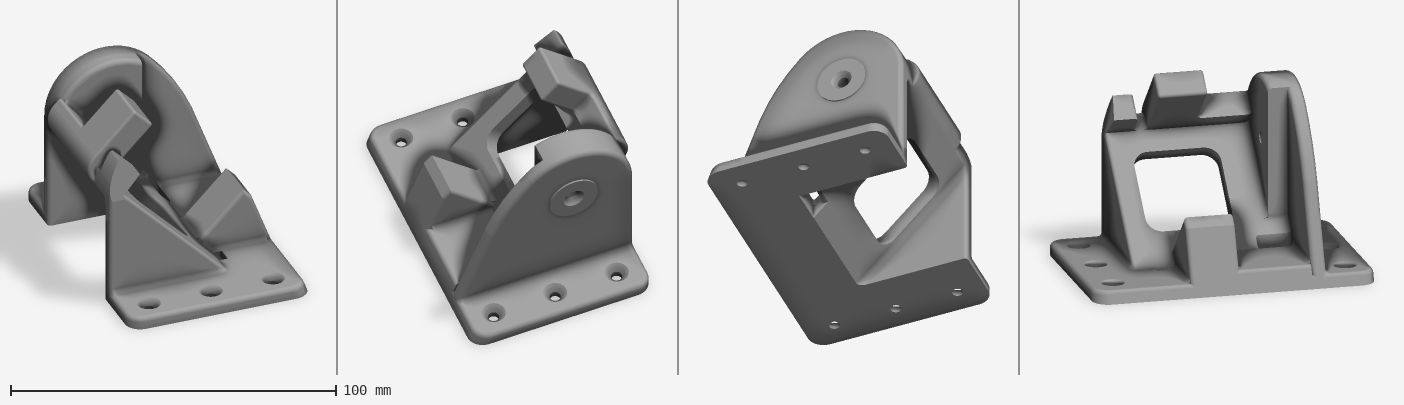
import cadquery as cq
import math

base_length = 89.59
base_depth = 59.96
flange_height = 4.0
corner_radius = 5.0
edge_radius = 1.5
flange_hole_radius = 1.7
flange_sink_radius = 3.7
flange_hole_inset = 7.9
flange_hole_rows = (9.0, 29.5, 50.0)

wall_thickness = 4.7
left_wall_outer = -29.0
left_wall_inner = left_wall_outer + wall_thickness
right_wall_outer = 27.4
right_wall_inner = right_wall_outer - wall_thickness
right_wall_edge_radius = 1.0

pivot_radius = 20.1
pivot_y = pivot_radius
pivot_z = 37.6
back_lean = math.radians(20.9)
back_bend_z = 31.4
hub_inner = -18.1
hub_depth = 28.6
hub_edge_radius = 1.6
pad_radius = 8.0
pad_thickness = 0.5
pivot_hole_radius = 1.85
pivot_sink_radius = 3.4

web_top_z = 36.1
web_thickness = 4.75
window_left = -7.3
window_right = 20.3
window_low = -37.55
window_high = -9.6
window_radius = 5.0
cavity_radius = 1.9
opening_radius = 1.2
cove_radius = 1.5

bar_left = -20.5
bar_radius = 6.65
bar_height = 9.8
arm_left = -1.5
arm_right = 14.2
arm_height = 25.7
arm_back = -2.0
arm_edge_radius = 0.9
arm_root_radius = 1.5
tab_front = -44.3
tab_edge_radius = 1.2
lug_left = 18.2
lug_top_right = 24.8
lug_top_z = 49.6
lug_height = 12.7
lug_edge_radius = 1.5
lug_foot_drop = 1.0

raised_floor_height = 7.0
slot_right = -13.1
slot_front = 32.6
slot_back = 36.2
slot_radius = 1.0
slot_mouth_height = 4.8
notch_right = 20.6
notch_back = 41.6

slope = math.sqrt(0.5)
up_web = (0, -slope, slope)
out_of_web = (0, slope, slope)
tall = 100.0
facing_out = cq.selectors.DirectionMinMaxSelector(cq.Vector(out_of_web))


def web_point(along, out):
    """(y, z) of a point measured up the web underside and square out of it."""
    return ((out - along) * slope, web_top_z + (out + along) * slope)


def back_y(z):
    """Y of the leaning back face at height z."""
    return base_depth - z * math.tan(back_lean)


def web_foot_y(height):
    """Y where the upper side of the web passes height."""
    return web_top_z + web_thickness / slope - height


def along_at(y):
    """Distance up the web at which its upper side passes y."""
    return web_thickness - y / slope


def prism(points, left, right):
    """Closed (y, z) polygon swept from x = left to x = right."""
    return cq.Workplane("YZ", origin=(left, 0, 0)).polyline(points).close().extrude(right - left)


def web_block(low, high, near, far, left, right):
    """Box aligned with the web: low..high along it, near..far out of it."""
    corners = [(low, near), (high, near), (high, far), (low, far)]
    return prism([web_point(*corner) for corner in corners], left, right)


def outline_prism(left, right):
    """Full side outline swept from x = left to x = right."""
    arc_end = (pivot_y + pivot_radius * slope, pivot_z + pivot_radius * slope)
    return (
        cq.Workplane("YZ", origin=(left, 0, 0))
        .moveTo(0, 0)
        .lineTo(0, pivot_z)
        .threePointArc((pivot_y - pivot_radius * slope, arc_end[1]), (pivot_y, pivot_z + pivot_radius))
        .threePointArc(
            (pivot_y + pivot_radius * math.sin(math.pi / 8), pivot_z + pivot_radius * math.cos(math.pi / 8)),
            arc_end,
        )
        .tangentArcPoint((back_y(back_bend_z), back_bend_z), relative=False)
        .lineTo(base_depth, 0)
        .close()
        .extrude(right - left)
    )


def floor_block(left, right, height):
    """Slab from the front to the leaning back face."""
    return prism([(0, 0), (0, height), (back_y(height), height), (base_depth, 0)], left, right)


def under_web(left, right):
    """Open space in front of and below the web, rounded into the walls."""
    space = web_block(-tall, tall, -tall, 0, left, right)
    return space.faces(facing_out).edges("not |X").fillet(cavity_radius)


def cove(origin, across, along, length, radius=cove_radius):
    """Concave fillet bar: starts at origin, spreads along `across`, runs along `along`."""
    frame = cq.Plane(origin=origin, xDir=across, normal=along)
    middle = radius * (1 - slope)
    return (
        cq.Workplane(frame)
        .moveTo(0, 0)
        .lineTo(radius, 0)
        .threePointArc((middle, middle), (0, radius))
        .close()
        .extrude(length)
    )


def web_cove(x, side, low, high, out):
    """Cove beside a wall at x, on a plane parallel to the web; side is +1 or -1 along X."""
    if side > 0:
        return cove((x, *web_point(low, out)), (1, 0, 0), up_web, high - low)
    down_web = tuple(-part for part in up_web)
    return cove((x, *web_point(high, out)), (-1, 0, 0), down_web, high - low)


def floor_cove(x, side, height):
    """Cove beside a wall at x on the floor, from the web to near the back edge."""
    front = web_foot_y(height)
    back = back_y(height) - edge_radius
    if side > 0:
        return cove((x, back, height), (1, 0, 0), (0, -1, 0), back - front)
    return cove((x, front, height), (-1, 0, 0), (0, 1, 0), back - front)


def edges_within(left, right, front, back, bottom, top):
    """Selector for edges centred inside a box, widened by a small margin."""
    margin = 0.1
    low = (left - margin, front - margin, bottom - margin)
    high = (right + margin, back + margin, top + margin)
    return cq.selectors.BoxSelector(low, high)


def make_base():
    half = base_length / 2
    base = floor_block(-half, half, flange_height)
    for side in ("<X", ">X"):
        base = base.faces(side).edges("<Y or >Y").fillet(corner_radius)
    base = base.faces(">Z").edges().fillet(edge_radius)
    raised = floor_block(left_wall_inner, arm_left + tab_edge_radius, raised_floor_height)
    raised = raised.faces(">Z").edges(">Y").fillet(edge_radius)
    return base.union(raised)


def make_left_wall():
    wall = outline_prism(left_wall_outer, left_wall_inner)
    wall = wall.faces("<X").edges("not <Z").fillet(hub_edge_radius)
    hub = outline_prism(left_wall_outer, hub_inner)
    hub = hub.faces("<X or >X").edges("not <Z").fillet(hub_edge_radius)
    hub = hub.cut(under_web(left_wall_inner, hub_inner))
    hub_limit = cq.Workplane("XY").box(tall, hub_depth, tall, centered=(True, False, False))
    pad = (
        cq.Workplane("YZ", origin=(left_wall_outer - pad_thickness, pivot_y, pivot_z))
        .circle(pad_radius)
        .extrude(wall_thickness)
    )
    wall = wall.union(hub.intersect(hub_limit)).union(pad)
    x = left_wall_inner
    behind_hub = edges_within(x, x, hub_depth + edge_radius, tall, edge_radius, tall)
    return wall.edges(behind_hub).fillet(edge_radius)


def make_lug_slope():
    """Cutter whose slanted side narrows the lug and wall top towards the crest."""
    low_z = pivot_z - lug_foot_drop
    return (
        cq.Workplane("XZ", origin=(0, tall, 0))
        .moveTo(right_wall_outer, low_z)
        .lineTo(lug_top_right, lug_top_z)
        .lineTo(lug_top_right, tall)
        .lineTo(tall, tall)
        .lineTo(tall, low_z)
        .close()
        .extrude(2 * tall)
    )


def make_right_wall():
    wall = outline_prism(right_wall_inner, right_wall_outer)
    wall = wall.cut(web_block(-tall, tall, web_thickness, tall, right_wall_inner, right_wall_outer))
    return wall.faces(">X").edges("not <Z").fillet(right_wall_edge_radius).cut(make_lug_slope())


def make_web():
    """Web with spare material below it, which the rounded cavity later trims."""
    web = web_block(-tall, tall, -cavity_radius, web_thickness, left_wall_inner, right_wall_inner)
    return web.intersect(outline_prism(left_wall_inner, right_wall_inner))


def make_bar_and_arm():
    """Crossbar on the web's top edge, carrying the arm; both share one rounded lower front."""
    bar = web_block(arm_back, bar_radius, 0, bar_height, bar_left, (arm_left + arm_right) / 2)
    bar = bar.edges("|X").edges("<Y").fillet(bar_radius)
    bar = bar.faces("<X or >Z").edges("not >X").fillet(arm_edge_radius)
    arm = web_block(arm_back, bar_radius, 0, arm_height, arm_left, arm_right)
    arm = arm.edges("|X").edges("<Y").fillet(bar_radius)
    arm = arm.faces("<X or >X or >Z").edges().fillet(arm_edge_radius)
    both = bar.union(arm)
    front_y, low_z = web_point(bar_radius, bar_height)
    back_edge_y, high_z = web_point(arm_back, bar_height)
    root = edges_within(arm_left, arm_left, front_y, back_edge_y, high_z, low_z)
    return both.edges(root).fillet(arm_root_radius)


def make_lug():
    lug = web_block(arm_back, bar_radius, web_thickness / 2, lug_height, lug_left, right_wall_outer)
    lug = lug.intersect(outline_prism(lug_left, right_wall_outer))
    lug = lug.faces("<X").edges(facing_out).fillet(lug_edge_radius)
    return lug.cut(make_lug_slope())


def make_tab():
    """Stop on the web: square front, end level with the arm's end, leaning back."""
    top = web_point(tab_front, arm_height)
    crest_z = (base_depth - sum(top)) / (math.tan(back_lean) - 1)
    outline = [web_point(tab_front, 0), top, (back_y(crest_z), crest_z), (base_depth, 0)]
    tab = prism(outline, arm_left, arm_right)
    foot_y, foot_z = web_point(tab_front, web_thickness)
    upper = edges_within(-tall, tall, foot_y - edge_radius, back_y(foot_z), foot_z, top[1])
    return tab.edges(upper).edges("not |X").fillet(tab_edge_radius)


def make_slot():
    """Drain slot beside the left wall with a flat-topped mouth at the foot of the web."""
    slot = cq.Workplane("XY").box(slot_right - left_wall_inner, slot_back - slot_front, tall, centered=False)
    slot = slot.translate((left_wall_inner, slot_front, 0)).edges("|Z").fillet(slot_radius)
    mouth_front = web_top_z - slot_mouth_height
    mouth = cq.Workplane("XY").box(
        slot_right - left_wall_inner, slot_back - mouth_front, slot_mouth_height, centered=False
    )
    return slot.union(mouth.translate((left_wall_inner, mouth_front, 0)))


def make_notch():
    notch = web_block(-tall, tall, web_thickness, tall, arm_right, notch_right)
    limit = cq.Workplane("XY").box(tall, notch_back, flange_height, centered=(True, False, False))
    return notch.intersect(limit)


def make_window():
    margin = 1.0
    window = web_block(window_low, window_high, -margin, web_thickness + margin, window_left, window_right)
    through_edges = cq.selectors.ParallelDirSelector(cq.Vector(out_of_web))
    return window.edges(through_edges).fillet(window_radius)


def countersink(radius, sink_radius, depth):
    """Drill along -Z from z = 0 with a 90 degree countersunk mouth."""
    rim = sink_radius - radius
    return (
        cq.Workplane("XZ")
        .polyline([(0, 0), (sink_radius, 0), (radius, -rim), (radius, -depth), (0, -depth)])
        .close()
        .revolve(360, (0, 0, 0), (0, 1, 0))
    )


def add_coves(body):
    """Concave fillets where the hub, thin wall, tab and arm stand on the web and floor."""
    foot = along_at(web_foot_y(raised_floor_height))
    flange_foot = along_at(web_foot_y(flange_height))
    hub_end = along_at(hub_depth)
    tab_corner = tab_front - tab_edge_radius
    tab_inset = arm_right - tab_edge_radius
    front_origin = (tab_inset, *web_point(tab_front, web_thickness))
    coves = [
        web_cove(left_wall_inner, 1, foot, hub_end, web_thickness),
        floor_cove(left_wall_inner, 1, raised_floor_height),
        web_cove(hub_inner, 1, hub_end, arm_back, web_thickness),
        web_cove(hub_inner, 1, arm_back, bar_radius - arm_edge_radius, bar_height),
        floor_cove(arm_left, -1, raised_floor_height),
        floor_cove(arm_right, 1, flange_height),
        web_cove(arm_right, 1, flange_foot, tab_corner, web_thickness),
        cove(front_origin, up_web, (-1, 0, 0), tab_inset - arm_left - tab_edge_radius),
        web_cove(arm_right, 1, arm_back, along_at(edge_radius), web_thickness),
    ]
    for piece in coves:
        body = body.union(piece)
    return body


def round_wall_feet(body):
    """Fillet the flanges into the outer faces of both walls."""
    for x in (left_wall_outer, right_wall_outer):
        foot = edges_within(x, x, edge_radius / 2, base_depth, flange_height, flange_height)
        body = body.edges(foot).fillet(edge_radius)
    return body


def make_body():
    body = make_base().union(make_left_wall()).union(make_right_wall())
    body = round_wall_feet(body)
    body = body.cut(make_notch()).union(make_web()).union(make_tab())
    body = body.cut(under_web(left_wall_inner, right_wall_inner))
    opening = edges_within(left_wall_inner, right_wall_inner, 0, 0, 0, web_top_z)
    body = body.edges(opening).fillet(opening_radius)
    body = body.cut(make_window()).union(make_lug())
    lug_back_y = web_point(arm_back, web_thickness)[0]
    lug_root = edges_within(lug_left, lug_left, 0, lug_back_y, web_top_z, web_top_z + web_thickness / slope)
    body = body.edges(lug_root).fillet(cove_radius)
    step_z = web_point(along_at(hub_depth), web_thickness)[1]
    hub_step = edges_within(left_wall_inner, hub_inner, hub_depth, hub_depth, step_z, step_z)
    body = body.edges(hub_step).fillet(cove_radius)
    return add_coves(body.union(make_bar_and_arm())).cut(make_slot())


def drill(body):
    flange_hole = countersink(flange_hole_radius, flange_sink_radius, flange_height)
    hole_x = base_length / 2 - flange_hole_inset
    for x in (-hole_x, hole_x):
        for y in flange_hole_rows:
            body = body.cut(flange_hole.translate((x, y, flange_height)))
    pivot_depth = hub_inner - left_wall_outer + pad_thickness
    pivot_hole = countersink(pivot_hole_radius, pivot_sink_radius, pivot_depth)
    pivot_hole = pivot_hole.rotate((0, 0, 0), (0, 1, 0), -90)
    return body.cut(pivot_hole.translate((left_wall_outer - pad_thickness, pivot_y, pivot_z)))


result = drill(make_body())